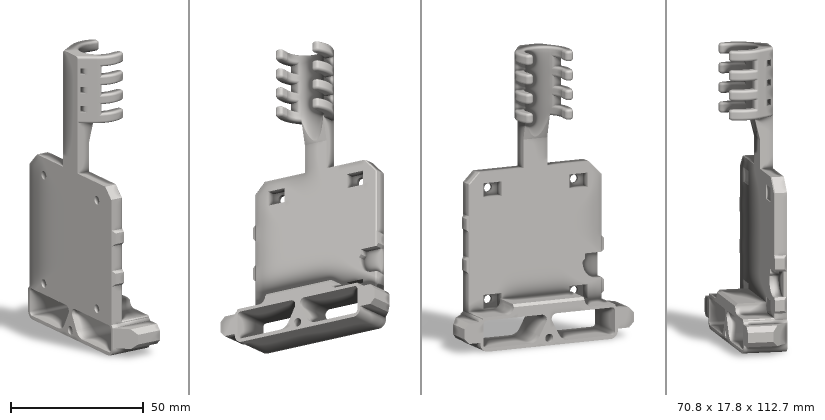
import cadquery as cq
import math

TOTAL_HEIGHT = 112.7

PLATE_HALF_WIDTH = 27.8
PLATE_THICKNESS = 5.0
PLATE_BOTTOM = 8.0
PLATE_TOP = 66.4
LEFT_CORNER = 5.2
RIGHT_CORNER = 4.1
BACK_EDGE_CHAMFER = 0.35
HOLE_DIAMETER = 3.3
NUT_POCKET_WIDTH = 7.5
NUT_POCKET_HEIGHT = 5.5
NUT_POCKET_FLOOR_Y = 1.4
HOLE_SPACING_X = 36.0
HOLE_SPACING_Z = 43.0
LOWER_HOLE_Z = 16.4

ARM_HALF_WIDTH = 5.0
ARM_ROOT_Y = 7.2
ARM_TAPER_START = 77.4

CLIP_OUTER_RADIUS = 11.0
CLIP_BORE_RADIUS = 7.0
CLIP_AXIS_Y = 12.2
CLIP_TIP_Y = 17.83
CLIP_MOUTH_HALF_WIDTH = 6.75
CLIP_ROUND = 1.0
TIP_ROUND = 1.3
FINGER_COUNT = 4
FINGER_PITCH = 7.5
FINGER_HEIGHT = 4.0
FINGER_ROOT_Y = 8.2
CLIP_HEIGHT = (FINGER_COUNT - 1) * FINGER_PITCH + FINGER_HEIGHT
CLIP_BOTTOM = TOTAL_HEIGHT - CLIP_HEIGHT

TIE_NEAR_Y = 0.9
TIE_CORE_Y = 2.4
TIE_FAR_Y = 3.85
TIE_HEIGHT = 2.5
TIE_BEND_X = 5.5
TIE_BEND_RADIUS = 2.1

BASE_DEPTH = 17.0
FRAME_HALF_WIDTH = 28.8
FRAME_SHOULDER_Z = 11.6
FRAME_CORNER_RADIUS = 3.2
LEDGE_Z = 13.3
LEDGE_CHAMFER = 0.4
RAISED_HALF_WIDTH = 14.8
RAISED_TOP = 17.1
RAISED_FILLET = 3.0
RAISED_CHAMFER = 1.0
BASE_HOLE_Z = 2.8

OPENING_OUTER_X = 27.5
OPENING_APEX_X = -0.3
OPENING_BOTTOM = 1.4
OPENING_TOP = 12.1
OPENING_CORNER = 1.3
OPENING_APEX_RADIUS = 2.0
WEB_FOOT_X = 5.4
WEB_FOOT_RADIUS = 4.6

TAB_END_X = 35.4
TAB_BOTTOM = 3.7
TAB_TOP = 11.55
TAB_CHAMFER = 2.0
TAB_FRONT_Y = 0.5

BUMP_HEIGHT = 1.0
BUMP_FOOT = 0.01
BUMP_BASE_LENGTH = 6.2
BUMP_FRONT_Y = 0.3
LEFT_BUMP_CENTRES = (18.2, 34.2)
RIGHT_BUMP_CENTRES = (30.9, 46.9)

RECESS_FLOOR_Y = 1.4
RECESS_BOTTOM = 21.2
RECESS_TOP = 31.1
RECESS_DEPTH = 8.0
RECESS_RADIUS = 6.5
RECESS_STEP = 1.0
RECESS_STEP_Z = 28.1

MATCH_TOLERANCE = 0.01


def extrude_back(outline, y_start, y_end):
    """Extrude an outline drawn in the XZ plane from y_start back to y_end."""
    return outline.extrude(-(y_end - y_start)).translate((0, y_start, 0))


def box_between(x_range, y_range, z_range):
    """Axis-aligned box given by its limits on each axis."""
    size = [high - low for low, high in (x_range, y_range, z_range)]
    corner = (x_range[0], y_range[0], z_range[0])
    return cq.Workplane("XY").box(*size, centered=False).translate(corner)


def mirrored_pair(body):
    """The body together with its mirror image across X = 0."""
    return body.union(body.mirror("YZ"))


def make_plate():
    outline = cq.Workplane("XZ").polyline([
        (-PLATE_HALF_WIDTH, PLATE_BOTTOM),
        (PLATE_HALF_WIDTH, PLATE_BOTTOM),
        (PLATE_HALF_WIDTH, PLATE_TOP - RIGHT_CORNER),
        (PLATE_HALF_WIDTH - RIGHT_CORNER, PLATE_TOP),
        (LEFT_CORNER - PLATE_HALF_WIDTH, PLATE_TOP),
        (-PLATE_HALF_WIDTH, PLATE_TOP - LEFT_CORNER),
    ]).close()
    plate = extrude_back(outline, 0, PLATE_THICKNESS)
    return plate.faces(">Y").edges("not #Z").chamfer(BACK_EDGE_CHAMFER)


def make_arm():
    side = cq.Workplane("YZ").polyline([
        (0, PLATE_BOTTOM),
        (0, CLIP_BOTTOM + CLIP_ROUND),
        (ARM_ROOT_Y, CLIP_BOTTOM + CLIP_ROUND),
        (ARM_ROOT_Y, CLIP_BOTTOM),
        (PLATE_THICKNESS, ARM_TAPER_START),
        (PLATE_THICKNESS, PLATE_BOTTOM),
    ]).close()
    arm = side.extrude(ARM_HALF_WIDTH, both=True)
    bore = (
        cq.Workplane("XY", origin=(0, CLIP_AXIS_Y, PLATE_TOP))
        .circle(CLIP_BORE_RADIUS)
        .extrude(CLIP_BOTTOM + CLIP_ROUND - PLATE_TOP)
    )
    return arm.cut(bore)


def clip_outline():
    """Open ring on two flanks that run tangentially down to the arm width."""
    reach = math.hypot(ARM_HALF_WIDTH, CLIP_AXIS_Y)
    lean = math.atan2(-CLIP_AXIS_Y, ARM_HALF_WIDTH)
    touch = lean + math.acos(CLIP_OUTER_RADIUS / reach)
    touch_x = CLIP_OUTER_RADIUS * math.cos(touch)
    touch_y = CLIP_AXIS_Y + CLIP_OUTER_RADIUS * math.sin(touch)
    tip_rise = CLIP_TIP_Y - CLIP_AXIS_Y
    tip_x = math.sqrt(CLIP_OUTER_RADIUS**2 - tip_rise**2)
    mouth_rise = math.sqrt(CLIP_BORE_RADIUS**2 - CLIP_MOUTH_HALF_WIDTH**2)
    mouth_y = CLIP_AXIS_Y + mouth_rise
    return (
        cq.Workplane("XY")
        .moveTo(-ARM_HALF_WIDTH, 0)
        .lineTo(ARM_HALF_WIDTH, 0)
        .lineTo(touch_x, touch_y)
        .threePointArc((CLIP_OUTER_RADIUS, CLIP_AXIS_Y), (tip_x, CLIP_TIP_Y))
        .lineTo(CLIP_MOUTH_HALF_WIDTH, CLIP_TIP_Y)
        .lineTo(CLIP_MOUTH_HALF_WIDTH, mouth_y)
        .threePointArc((0, CLIP_AXIS_Y - CLIP_BORE_RADIUS), (-CLIP_MOUTH_HALF_WIDTH, mouth_y))
        .lineTo(-CLIP_MOUTH_HALF_WIDTH, CLIP_TIP_Y)
        .lineTo(-tip_x, CLIP_TIP_Y)
        .threePointArc((-CLIP_OUTER_RADIUS, CLIP_AXIS_Y), (-touch_x, touch_y))
        .close()
    )


def is_clip_rim(edge):
    """True for the outer edges of the fingers and of the gaps between them."""
    centre = edge.Center()
    direction = edge.tangentAt(0)
    on_front = centre.y < CLIP_ROUND and abs(direction.x) > abs(direction.y)
    at_gap_root = abs(centre.y - FINGER_ROOT_Y) < MATCH_TOLERANCE
    if edge.geomType() == "LINE" and abs(direction.z) > 1 - MATCH_TOLERANCE:
        return at_gap_root
    return not (at_gap_root or on_front)


def make_clip():
    clip = clip_outline().extrude(CLIP_HEIGHT)
    for gap in range(FINGER_COUNT - 1):
        gap_bottom = gap * FINGER_PITCH + FINGER_HEIGHT
        gap_top = (gap + 1) * FINGER_PITCH
        x_range = (-2 * CLIP_OUTER_RADIUS, 2 * CLIP_OUTER_RADIUS)
        y_range = (FINGER_ROOT_Y, 2 * CLIP_TIP_Y)
        clip = clip.cut(box_between(x_range, y_range, (gap_bottom, gap_top)))
    clip = clip.faces(">Y").edges("|Z").fillet(TIP_ROUND)
    clip = clip.edges().filter(is_clip_rim).fillet(CLIP_ROUND)
    return clip.translate((0, 0, CLIP_BOTTOM))


def make_tie_channel(centre_z):
    """Passage that runs across the clip in front of its bore, curved at both ends."""
    half_height = TIE_HEIGHT / 2
    passage = box_between(
        (-CLIP_OUTER_RADIUS, CLIP_OUTER_RADIUS),
        (TIE_NEAR_Y, TIE_FAR_Y),
        (centre_z - half_height, centre_z + half_height),
    )
    core_half_width = TIE_BEND_X + TIE_BEND_RADIUS
    core = box_between(
        (-core_half_width, core_half_width),
        (TIE_CORE_Y, CLIP_AXIS_Y),
        (centre_z - TIE_HEIGHT, centre_z + TIE_HEIGHT),
    )
    core = core.faces("<Y").edges("|Z").fillet(TIE_BEND_RADIUS)
    return passage.cut(core)


def make_base():
    """Full-depth base: frame, ledge behind the plate and raised middle."""
    fillet_mid = RAISED_FILLET * (1 - math.sqrt(0.5))
    fillet_start = RAISED_HALF_WIDTH + RAISED_FILLET
    shoulder_rise = FRAME_HALF_WIDTH - PLATE_HALF_WIDTH
    outline = (
        cq.Workplane("XZ")
        .moveTo(0, 0)
        .lineTo(FRAME_HALF_WIDTH, 0)
        .lineTo(FRAME_HALF_WIDTH, FRAME_SHOULDER_Z)
        .lineTo(PLATE_HALF_WIDTH, FRAME_SHOULDER_Z + shoulder_rise)
        .lineTo(PLATE_HALF_WIDTH, LEDGE_Z - LEDGE_CHAMFER)
        .lineTo(PLATE_HALF_WIDTH - LEDGE_CHAMFER, LEDGE_Z)
        .lineTo(fillet_start, LEDGE_Z)
        .threePointArc(
            (RAISED_HALF_WIDTH + fillet_mid, LEDGE_Z + fillet_mid),
            (RAISED_HALF_WIDTH, LEDGE_Z + RAISED_FILLET),
        )
        .lineTo(RAISED_HALF_WIDTH, RAISED_TOP)
        .lineTo(0, RAISED_TOP)
        .close()
    )
    half = extrude_back(outline, 0, BASE_DEPTH)
    half = half.edges("|Y and >X and <Z").fillet(FRAME_CORNER_RADIUS)
    base = mirrored_pair(half).clean()
    return base.faces(">Z").edges(">Y").chamfer(RAISED_CHAMFER)


def make_openings():
    outline = cq.Workplane("XZ").polyline([
        (OPENING_APEX_X, OPENING_TOP),
        (OPENING_OUTER_X, OPENING_TOP),
        (OPENING_OUTER_X, OPENING_BOTTOM),
        (WEB_FOOT_X, OPENING_BOTTOM),
    ]).close()
    opening = extrude_back(outline, 0, BASE_DEPTH)

    def edge_at(x, z):
        return opening.edges("|Y").edges(cq.selectors.NearestToPointSelector((x, BASE_DEPTH / 2, z)))

    corners = edge_at(OPENING_OUTER_X, OPENING_TOP)
    corners = corners.add(edge_at(OPENING_OUTER_X, OPENING_BOTTOM))
    opening = corners.fillet(OPENING_CORNER)
    opening = edge_at(OPENING_APEX_X, OPENING_TOP).fillet(OPENING_APEX_RADIUS)
    opening = edge_at(WEB_FOOT_X, OPENING_BOTTOM).fillet(WEB_FOOT_RADIUS)
    return mirrored_pair(opening)


def make_tabs():
    """Octagonal-ended side tabs whose front face slopes back at 45 degrees."""
    tab = box_between((PLATE_HALF_WIDTH, TAB_END_X), (0, BASE_DEPTH), (TAB_BOTTOM, TAB_TOP))
    tab = tab.faces(">X").edges("|Y").chamfer(TAB_CHAMFER)
    slope_run = TAB_END_X - FRAME_HALF_WIDTH
    wedge = (
        cq.Workplane("XY")
        .polyline([
            (FRAME_HALF_WIDTH, 0),
            (FRAME_HALF_WIDTH, TAB_FRONT_Y),
            (TAB_END_X, TAB_FRONT_Y + slope_run),
            (TAB_END_X, 0),
        ])
        .close()
        .extrude(LEDGE_Z)
    )
    return mirrored_pair(tab.cut(wedge))


def make_bump(centre_z):
    """Snap bump on the +X side of the plate, bevelled at the front and both ends."""
    half_length = BUMP_BASE_LENGTH / 2
    bump = box_between(
        (PLATE_HALF_WIDTH, PLATE_HALF_WIDTH + BUMP_HEIGHT),
        (BUMP_FRONT_Y, PLATE_THICKNESS),
        (centre_z - half_length, centre_z + half_length),
    )
    return bump.faces(">X").edges("|Z and <Y or |Y").chamfer(BUMP_HEIGHT - BUMP_FOOT)


def make_recess():
    """Pocket in the back of the plate, open to the left side, with a stepped inner wall."""
    wall_x = RECESS_DEPTH - PLATE_HALF_WIDTH
    bend = RECESS_RADIUS * (1 - math.sqrt(0.5))
    outline = (
        cq.Workplane("XZ")
        .moveTo(-PLATE_HALF_WIDTH, RECESS_BOTTOM)
        .lineTo(wall_x - RECESS_RADIUS, RECESS_BOTTOM)
        .threePointArc(
            (wall_x - bend, RECESS_BOTTOM + bend),
            (wall_x, RECESS_BOTTOM + RECESS_RADIUS),
        )
        .lineTo(wall_x, RECESS_STEP_Z)
        .lineTo(wall_x - RECESS_STEP, RECESS_STEP_Z + RECESS_STEP)
        .lineTo(wall_x - RECESS_STEP, RECESS_TOP)
        .lineTo(-PLATE_HALF_WIDTH, RECESS_TOP)
        .close()
    )
    return extrude_back(outline, RECESS_FLOOR_Y, PLATE_THICKNESS)


def make_cylinders(centres, diameter, y_start, y_end):
    """Cylinders along Y at the given X, Z centres."""
    circles = cq.Workplane("XZ").pushPoints(centres).circle(diameter / 2)
    return extrude_back(circles, y_start, y_end)


def make_screw_holes():
    """Plate holes with nut pockets in the back, plus one plain hole through the base."""
    half_x = HOLE_SPACING_X / 2
    plate_centres = []
    for x in (-half_x, half_x):
        for z in (LOWER_HOLE_Z, LOWER_HOLE_Z + HOLE_SPACING_Z):
            plate_centres.append((x, z))
    holes = make_cylinders(plate_centres, HOLE_DIAMETER, 0, PLATE_THICKNESS)
    pocket_outlines = (
        cq.Workplane("XZ").pushPoints(plate_centres).rect(NUT_POCKET_WIDTH, NUT_POCKET_HEIGHT)
    )
    nut_pockets = extrude_back(pocket_outlines, NUT_POCKET_FLOOR_Y, PLATE_THICKNESS)
    base_hole = make_cylinders([(0, BASE_HOLE_Z)], HOLE_DIAMETER, 0, BASE_DEPTH)
    return holes.union(nut_pockets).union(base_hole)


body = make_plate().union(make_arm()).union(make_base()).union(make_tabs())
body = body.union(make_clip())
for bump_z in RIGHT_BUMP_CENTRES:
    body = body.union(make_bump(bump_z))
for bump_z in LEFT_BUMP_CENTRES:
    body = body.union(make_bump(bump_z).mirror("YZ"))

body = body.cut(make_openings()).cut(make_recess()).cut(make_screw_holes())
for gap_index in range(FINGER_COUNT - 1):
    gap_centre = CLIP_BOTTOM + (gap_index + 0.5) * FINGER_PITCH + FINGER_HEIGHT / 2
    body = body.cut(make_tie_channel(gap_centre))

result = body